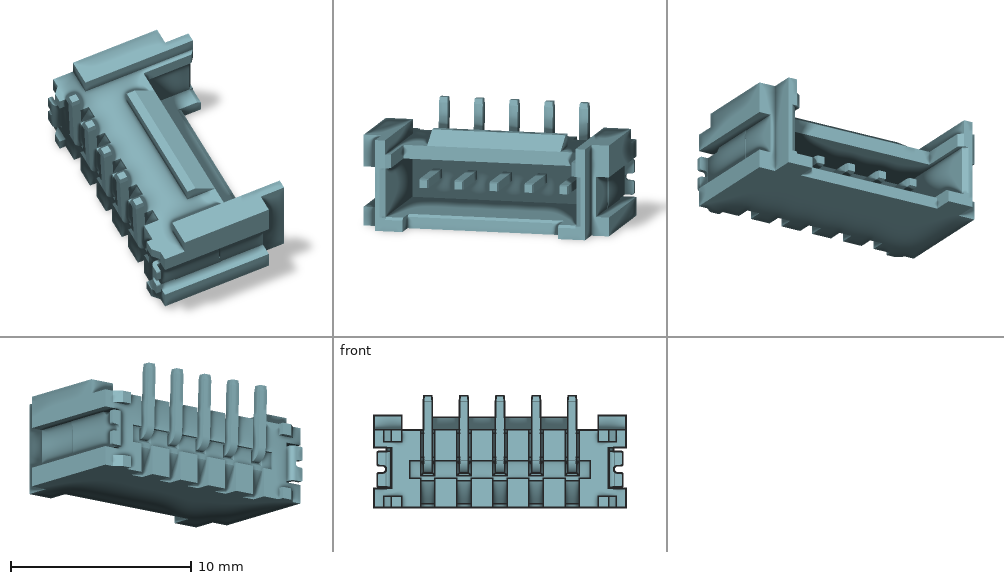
import cadquery as cq
import math


length = 14.0
deck_z = 4.31
core_half_x = 5.99
core_back_y = 7.87
flange_back_y = 6.43
lower_rail_top_z = 1.06
upper_rail_bottom_z = 3.33
block_top_z = 5.12
block_half_gap = 5.45
block_front_y = 1.22

cavity_half_x = block_half_gap
cavity_front_y = 1.4
floor_z = 0.77
roof_z = deck_z - floor_z
opening_half_x = 5.15
deck_back_y = 4.68
floor_notch_half_x = 4.44
floor_notch_y = 6.65
lead_in_depth = 0.22
lead_in_x = block_half_gap - opening_half_x
lead_in_z = 0.13

rib_half_x = 3.81
rib_front_y = 2.97
rib_crest_y = 3.47
rib_top_z = 5.03

foot_depth = 0.36
foot_height = 0.65
foot_tip_x = 6.03
foot_root_x = 6.45

pin_count = 5
pitch = length / 7
pin_size = 0.5
pin_tip_size = 0.43
pin_tip_length = 0.31
pin_axis_z = 2.17
pin_back_y = 4.82
pin_front_y = -0.43
pin_top_z = 6.22
pin_lean = 2.0
bend_inner_radius = 0.22

slot_width = 0.78
slot_depth = 0.91
slot_upper_z = (2.79, 4.13)
slot_lower_z = (0.22, 1.48)
funnel_height = 0.8
funnel_depth = 0.14
band_half_x = 5.01
band_depth = 0.18
band_bottom_z = 1.62
band_top_z = 2.6

pad_outer_x = 6.27
clip_inner_x = 6.05
clip_thickness = 0.25
clip_face_x = clip_inner_x + clip_thickness
clip_inner_radius = 0.03
clip_outer_x = 6.82
clip_front_y = -0.42
clip_back_y = 3.82
clip_wide_front_y = 1.01
clip_axis_z = 2.13
clip_half_height = 1.0
clip_corner = 0.11
clip_notch_half_height = 0.2
clip_notch_end_x = 6.33
clip_end_relief = 0.14
clip_relief_y = clip_back_y - clip_end_relief
clip_relief_half_height = 0.9
clip_groove_half_height = 0.73
clip_groove_width = 0.11
clip_groove_depth = 0.17

pin_positions = [(i - (pin_count - 1) / 2) * pitch for i in range(pin_count)]


def block(x, y, z):
    """Box between the given (low, high) limits on each axis."""
    size = (x[1] - x[0], y[1] - y[0], z[1] - z[0])
    return cq.Workplane("XY").box(*size, centered=False).translate((x[0], y[0], z[0]))


def centred_block(half_x, y, z):
    return block((-half_x, half_x), y, z)


def both_sides(shape):
    return shape.union(shape.mirror("YZ"))


def prism_x(points, half_x):
    """Y-Z outline extruded symmetrically along X."""
    return cq.Workplane("YZ").polyline(points).close().extrude(half_x, both=True)


def prism_z(points, z):
    """X-Y outline extruded between two heights."""
    outline = cq.Workplane("XY").workplane(offset=z[0]).polyline(points).close()
    return outline.extrude(z[1] - z[0])


def make_shell():
    half = length / 2
    shell = centred_block(core_half_x, (0, core_back_y), (0, deck_z))
    for z in ((0, lower_rail_top_z), (upper_rail_bottom_z, deck_z)):
        shell = shell.union(centred_block(half, (0, flange_back_y), z))
    raised = (deck_z, block_top_z)
    end_block = block((block_half_gap, half), (block_front_y, flange_back_y), raised)
    extension = block((block_half_gap, core_half_x), (block_front_y, core_back_y), raised)
    return shell.union(both_sides(end_block.union(extension)))


def flared_outline(half_x, front_y):
    """Opening outline that widens towards the back face."""
    flare_y = core_back_y - lead_in_depth
    right = [
        (half_x, front_y),
        (half_x, flare_y),
        (half_x + lead_in_x, core_back_y),
    ]
    left = [(-x, y) for x, y in reversed(right)]
    return right + left


def cut_cavity(body):
    cavity = prism_z(flared_outline(cavity_half_x, cavity_front_y), (floor_z, roof_z))
    opening = prism_z(flared_outline(opening_half_x, deck_back_y), (roof_z, deck_z))
    notch = centred_block(floor_notch_half_x, (floor_notch_y, core_back_y), (0, floor_z))
    body = body.cut(cavity).cut(opening).cut(notch)
    for edge_y, half_x in ((core_back_y, cavity_half_x), (floor_notch_y, floor_notch_half_x)):
        slope = [(edge_y - lead_in_depth, floor_z), (edge_y, floor_z), (edge_y, floor_z - lead_in_z)]
        body = body.cut(prism_x(slope, half_x))
    return body


def make_rib():
    outline = [
        (rib_front_y, deck_z),
        (rib_front_y, rib_top_z),
        (rib_crest_y, rib_top_z),
        (deck_back_y, deck_z),
    ]
    return prism_x(outline, rib_half_x)


def make_feet():
    outline = [
        (block_half_gap, 0),
        (block_half_gap, -foot_depth),
        (foot_tip_x, -foot_depth),
        (foot_root_x, 0),
    ]
    lower = prism_z(outline, (0, foot_height))
    upper = prism_z(outline, (deck_z - foot_height, deck_z))
    return both_sides(lower.union(upper))


def make_slot():
    """Front slot whose back wall bulges to the band depth around the pin."""
    outline = [
        (0, 0),
        (slot_depth, 0),
        (slot_depth, slot_lower_z[0]),
        (band_depth, slot_lower_z[1]),
        (band_depth, slot_upper_z[0]),
        (slot_depth, slot_upper_z[1]),
        (slot_depth, deck_z),
        (0, deck_z),
    ]
    slot = prism_x(outline, slot_width / 2)
    funnel = (
        cq.Workplane("XZ", origin=(0, band_depth, pin_axis_z))
        .rect(slot_width, funnel_height)
        .workplane(offset=-funnel_depth)
        .rect(pin_size, pin_size)
        .loft()
    )
    return slot.union(funnel)


def make_pin():
    """Square bar with a bend at the front and a tapered tip at both ends."""
    lean = math.radians(pin_lean)
    taper = math.degrees(math.atan((pin_size - pin_tip_size) / 2 / pin_tip_length))
    radius = bend_inner_radius + pin_size / 2
    tip_end_z = pin_top_z - pin_tip_size / 2 * math.sin(lean)
    top_y = pin_front_y + pin_size / 2 * math.cos(lean)
    top_z = tip_end_z - pin_tip_length * math.cos(lean)
    bend_z = pin_axis_z + radius
    leg_start_z = bend_z - radius * math.sin(lean)
    leg_start_y = top_y + (top_z - leg_start_z) * math.tan(lean)
    bend_y = leg_start_y + radius * math.cos(lean)
    mid_angle = (math.pi / 2 + lean) / 2
    bar_end_y = pin_back_y - pin_tip_length
    path = (
        cq.Workplane("YZ")
        .moveTo(bar_end_y, pin_axis_z)
        .lineTo(bend_y, pin_axis_z)
        .threePointArc(
            (bend_y - radius * math.cos(mid_angle), bend_z - radius * math.sin(mid_angle)),
            (leg_start_y, leg_start_z),
        )
        .lineTo(top_y, top_z)
    )
    bar = cq.Workplane("XZ", origin=(0, bar_end_y, pin_axis_z)).rect(pin_size, pin_size).sweep(path)
    back_plane = cq.Plane((0, bar_end_y, pin_axis_z), (1, 0, 0), (0, 1, 0))
    top_plane = cq.Plane((0, top_y, top_z), (1, 0, 0), (0, -math.sin(lean), math.cos(lean)))
    for plane in (back_plane, top_plane):
        tip = cq.Workplane(plane).rect(pin_size, pin_size).extrude(pin_tip_length, taper=taper)
        bar = bar.union(tip)
    return bar


def make_pad():
    return block(
        (core_half_x, pad_outer_x),
        (clip_relief_y, flange_back_y),
        (lower_rail_top_z, upper_rail_bottom_z),
    )


def make_clip_strip():
    """Narrow strip along the core side, bent outwards into a notched tab."""
    outer_radius = clip_inner_radius + clip_thickness
    bend_x = clip_inner_x + outer_radius
    bend_y = clip_front_y + outer_radius
    tab_back_y = clip_front_y + clip_thickness
    outer_offset = outer_radius * math.sqrt(0.5)
    inner_offset = clip_inner_radius * math.sqrt(0.5)
    strip = (
        cq.Workplane("XY", origin=(0, 0, clip_axis_z - clip_half_height))
        .moveTo(clip_inner_x, clip_wide_front_y)
        .lineTo(clip_inner_x, bend_y)
        .threePointArc((bend_x - outer_offset, bend_y - outer_offset), (bend_x, clip_front_y))
        .lineTo(clip_outer_x, clip_front_y)
        .lineTo(clip_outer_x, tab_back_y)
        .lineTo(bend_x, tab_back_y)
        .threePointArc((bend_x - inner_offset, bend_y - inner_offset), (clip_face_x, bend_y))
        .lineTo(clip_face_x, clip_wide_front_y)
        .close()
        .extrude(2 * clip_half_height)
    )
    notch_centre_x = clip_notch_end_x + clip_notch_half_height
    notch = block(
        (notch_centre_x, clip_outer_x),
        (clip_front_y, tab_back_y),
        (clip_axis_z - clip_notch_half_height, clip_axis_z + clip_notch_half_height),
    )
    notch_end = (
        cq.Workplane("XZ", origin=(notch_centre_x, clip_front_y, clip_axis_z))
        .circle(clip_notch_half_height)
        .extrude(-clip_thickness)
    )
    return strip.cut(notch).cut(notch_end).faces(">X").edges("|Y").fillet(clip_corner)


def make_clip_plate():
    """Wide rear part of the clip, filling the height between the rails."""
    strip_bottom_z = clip_axis_z - clip_half_height
    strip_top_z = clip_axis_z + clip_half_height
    relief_bottom_z = clip_axis_z - clip_relief_half_height
    relief_top_z = clip_axis_z + clip_relief_half_height
    outline = [
        (clip_wide_front_y, upper_rail_bottom_z),
        (clip_wide_front_y - (upper_rail_bottom_z - strip_top_z), strip_top_z),
        (clip_wide_front_y - (strip_bottom_z - lower_rail_top_z), strip_bottom_z),
        (clip_wide_front_y, lower_rail_top_z),
        (clip_back_y, lower_rail_top_z),
        (clip_back_y, relief_bottom_z - clip_end_relief),
        (clip_relief_y, relief_bottom_z),
        (clip_relief_y, relief_top_z),
        (clip_back_y, relief_top_z + clip_end_relief),
        (clip_back_y, upper_rail_bottom_z),
    ]
    plane = cq.Workplane("YZ", origin=(clip_inner_x, 0, 0))
    return plane.polyline(outline).close().extrude(clip_thickness)


def make_clip_groove():
    """Sloped groove between the clip end and the pad."""
    outline = [
        (clip_face_x, clip_relief_y),
        (clip_face_x, clip_relief_y + clip_groove_width),
        (clip_face_x - clip_groove_depth, clip_relief_y + clip_groove_width),
    ]
    return prism_z(
        outline,
        (clip_axis_z - clip_groove_half_height, clip_axis_z + clip_groove_half_height),
    )


def make_clip():
    clip = make_pad().union(make_clip_plate()).union(make_clip_strip())
    return clip.cut(make_clip_groove())


body = cut_cavity(make_shell()).union(make_rib()).union(make_feet())
body = body.cut(centred_block(band_half_x, (0, band_depth), (band_bottom_z, band_top_z)))

slot = make_slot()
pin = make_pin()
for x in pin_positions:
    body = body.cut(slot.translate((x, 0, 0)))
for x in pin_positions:
    body = body.union(pin.translate((x, 0, 0)))

result = body.union(both_sides(make_clip()))